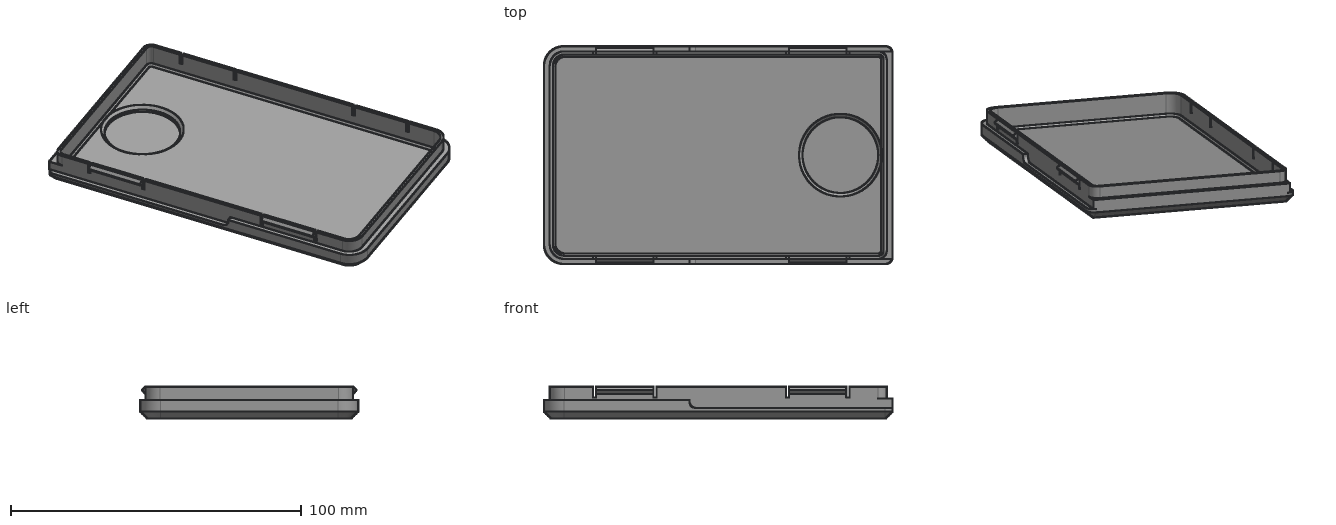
import cadquery as cq

length = 120.0
width = 75.0
height = 11.0
base_top = 6.5
end_ledge_top = 7.0
left_radius = 7.0
right_radius = 2.6
bottom_chamfer = 2.5

lip_inset_x = 2.0
lip_inset_y = 1.8
lip_left_radius = 5.0
lip_right_radius = 3.0
wall_inset_x = 3.1
wall_inset_y = 2.9
cavity_left_radius = 4.1
cavity_right_radius = 1.8
floor_z = 3.0
floor_slope = 0.8

relief_start = -length / 2 + 50.2
relief_z = 3.7
relief_radius = 2.0

hook_centers = (-32.2, 34.2)
hook_length = 19.8
hook_reach = 1.2
hook_tip_drop = 1.2
hook_height = 2.5
slit_width = 1.0
slit_bottom = 7.3

recess_x = 42.0
recess_diameter = 26.0
recess_slope = 1.2
recess_wall_height = 1.0

lip_length = length - 2 * lip_inset_x
lip_width = width - 2 * lip_inset_y
cavity_length = length - 2 * wall_inset_x
cavity_width = width - 2 * wall_inset_y


def rounded_block(size_x, size_y, bottom, top, radius_left, radius_right):
    """Block with its own corner radius at the -X and +X ends."""
    block = cq.Workplane("XY").workplane(offset=bottom).rect(size_x, size_y).extrude(top - bottom)
    block = block.edges("|Z and <X").fillet(radius_left)
    return block.edges("|Z and >X").fillet(radius_right)


def make_base():
    """Outer base, with a chamfered bottom edge and the side reliefs."""
    base = rounded_block(length, width, 0, base_top, left_radius, right_radius)
    base = base.faces("<Z").chamfer(bottom_chamfer)
    relief_length = length / 2 - relief_start
    for side in (-1, 1):
        relief = (
            cq.Workplane("XY")
            .box(relief_length, lip_inset_y, height, centered=(False, True, False))
            .edges("|Y and <X and <Z")
            .fillet(relief_radius)
            .translate((relief_start, side * (width - lip_inset_y) / 2, relief_z))
        )
        base = base.cut(relief)
    return base


def make_end_ledge():
    """Square-cornered ledge between the lip and the +X end."""
    ledge_length = lip_inset_x + lip_right_radius
    return cq.Workplane("XY").box(
        ledge_length, lip_width, end_ledge_top - relief_z, centered=(False, True, False)
    ).translate((length / 2 - ledge_length, 0, relief_z))


def make_cavity():
    """Open cavity whose walls meet the floor in a sloped border."""
    cavity = rounded_block(
        cavity_length, cavity_width, floor_z, height, cavity_left_radius, cavity_right_radius
    )
    return cavity.faces("<Z").chamfer(floor_slope)


def make_recess():
    """Round recess with a straight wall below a 45-degree countersink."""
    top_radius = recess_diameter / 2 + recess_slope
    recess_bottom = floor_z - recess_slope - recess_wall_height
    return (
        cq.Workplane("XZ")
        .moveTo(0, recess_bottom)
        .lineTo(recess_diameter / 2, recess_bottom)
        .lineTo(recess_diameter / 2, floor_z - recess_slope)
        .lineTo(top_radius, floor_z)
        .lineTo(0, floor_z)
        .close()
        .revolve(360, (0, 0), (0, 1))
        .translate((recess_x, 0, 0))
    )


def make_hook(center_x, side):
    """Triangular ridge on the outside of the lip, flush with its top."""
    lip_face = side * lip_width / 2
    return (
        cq.Workplane("YZ")
        .workplane(offset=center_x - hook_length / 2)
        .moveTo(lip_face, height)
        .lineTo(lip_face + side * hook_reach, height - hook_tip_drop)
        .lineTo(lip_face, height - hook_height)
        .close()
        .extrude(hook_length)
    )


def make_slits(center_x):
    """Slits through both long walls at the two ends of a hook."""
    slit_offset = (hook_length + slit_width) / 2
    return (
        cq.Workplane("XY")
        .workplane(offset=slit_bottom)
        .pushPoints([(center_x - slit_offset, 0), (center_x + slit_offset, 0)])
        .rect(slit_width, width)
        .extrude(height - slit_bottom)
    )


lip = rounded_block(lip_length, lip_width, relief_z, height, lip_left_radius, lip_right_radius)
result = make_base().union(make_end_ledge()).union(lip)
result = result.cut(make_cavity()).cut(make_recess())
for hook_x in hook_centers:
    result = result.cut(make_slits(hook_x))
    for wall_side in (-1, 1):
        result = result.union(make_hook(hook_x, wall_side))